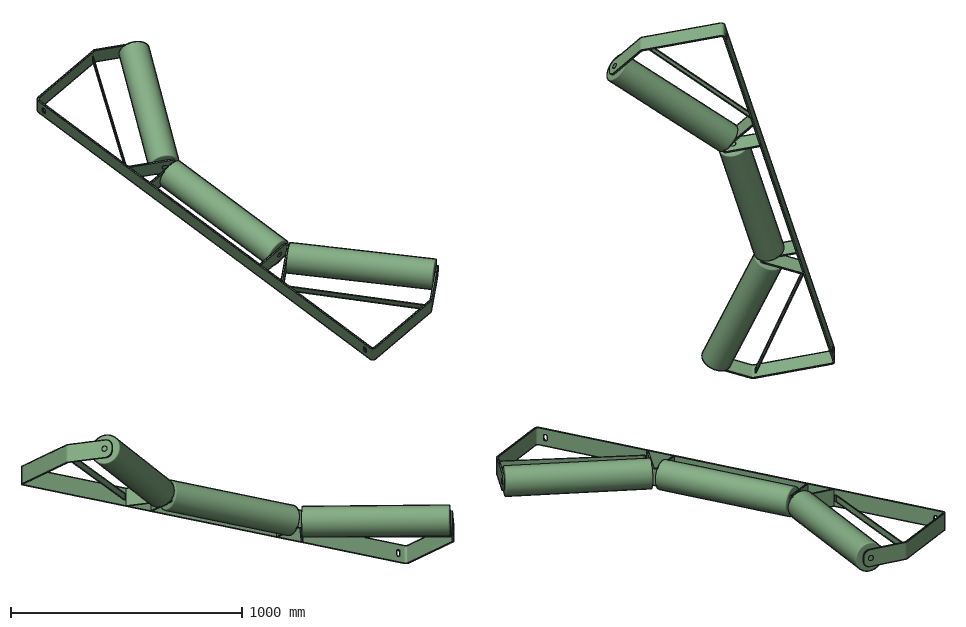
import cadquery as cq
import math


BAR_WIDTH = 80.0
BAR_THICKNESS = 7.0
BEND_RADIUS = 10.0

FRAME_LENGTH = 2000.0
SIDE_HEIGHT = 370.0
WING_ANGLE = 35.0
ARM_LENGTH = 208.0
ARM_CORNER_RADIUS = 30.0
AXLE_ON_ARM = 175.0
SLOT_X = 952.0
SLOT_WIDTH = 18.0
SLOT_HEIGHT = 30.0

ROLLER_DIAMETER = 135.0
ROLLER_LENGTH = 640.0
ROLLER_EDGE_RADIUS = 5.0
LEVEL_ROLLER_Y = 125.0
ARM_GAP = 5.0
BRACKET_GAP = 2.0
AXLE_DIAMETER = 25.0

BRACKET_HEIGHT = 168.0
BRACKET_BEND_RADIUS = 2.0

BRACE_WIDTH = 30.0
BRACE_THICKNESS = 5.0
BRACE_TOP_Y = 355.0
BRACE_FOOT_X = 465.0

HALF_LENGTH = FRAME_LENGTH / 2
COS_WING = math.cos(math.radians(WING_ANGLE))
SIN_WING = math.sin(math.radians(WING_ANGLE))
ARM_DIRECTION = cq.Vector(SIN_WING, COS_WING)
AXIS_DIRECTION = cq.Vector(COS_WING, -SIN_WING)
ARM_BEND = cq.Vector(-HALF_LENGTH, SIDE_HEIGHT)
ARM_EYE = ARM_BEND + ARM_DIRECTION * AXLE_ON_ARM
ARM_TIP = ARM_BEND + ARM_DIRECTION * ARM_LENGTH
HALF_ROLLER = ROLLER_LENGTH / 2
ARM_REACH = HALF_ROLLER + ARM_GAP
BRACKET_REACH = HALF_ROLLER + BRACKET_GAP
LEVEL_CENTRE = cq.Vector(0, LEVEL_ROLLER_Y)
WING_CENTRE = ARM_EYE + AXIS_DIRECTION * (BAR_THICKNESS + ARM_REACH)
BRACKET_EYE = WING_CENTRE + AXIS_DIRECTION * BRACKET_REACH


def mirrored(body):
    """Copy a left-hand body to the right-hand side."""
    return body.mirror("YZ")


def offset_path(path, distance):
    """Mitred offset of an open path, to the left of its direction of travel."""
    steps = [(end - start).normalized() for start, end in zip(path, path[1:])]
    normals = [cq.Vector(-step.y, step.x) for step in steps]
    shifted = [path[0] + normals[0] * distance]
    for corner, before, after in zip(path[1:], normals, normals[1:]):
        bisector = before + after
        shifted.append(corner + bisector * (distance / bisector.dot(before)))
    shifted.append(path[-1] + normals[-1] * distance)
    return shifted


def bent_bar(outer_path, inner_radius):
    """Flat bar bent along a path given on the outside of its bends, bar lying to the left of the path."""
    inner_path = offset_path(outer_path, BAR_THICKNESS)
    outline = [point.toTuple()[:2] for point in outer_path + inner_path[::-1]]
    bar = cq.Workplane("XY", origin=(0, 0, -BAR_WIDTH / 2)).polyline(outline).close().extrude(BAR_WIDTH)
    for corners, radius in (
        (outer_path[1:-1], inner_radius + BAR_THICKNESS),
        (inner_path[1:-1], inner_radius),
    ):
        for corner in corners:
            bar = bar.edges(cq.selectors.NearestToPointSelector((corner.x, corner.y, 0))).fillet(radius)
    return bar


def round_bar(diameter, start_x, end_x):
    """Round bar along X."""
    return cq.Workplane("YZ", origin=(start_x, 0, 0)).circle(diameter / 2).extrude(end_x - start_x)


def place_on_wing(body):
    """Move a body built around the origin, along X, onto the left wing roller axis."""
    return body.rotate((0, 0, 0), (0, 0, 1), -WING_ANGLE).translate(WING_CENTRE)


def make_axle(left_reach, right_reach):
    """Axle ending flush with the far faces of the plates at its two ends."""
    return round_bar(AXLE_DIAMETER, -left_reach - BAR_THICKNESS, right_reach + BAR_THICKNESS)


def make_roller(axle):
    """Roller drum with rounded rims, joined to its axle."""
    drum = round_bar(ROLLER_DIAMETER, -HALF_ROLLER, HALF_ROLLER)
    drum = drum.faces("<X or >X").edges().fillet(ROLLER_EDGE_RADIUS)
    return drum.union(axle)


def make_frame(wing_axle):
    """Base rail, upright sides and inclined arms, bent from one bar."""
    left_path = [ARM_TIP, ARM_BEND, cq.Vector(-HALF_LENGTH, 0)]
    right_path = [cq.Vector(-point.x, point.y) for point in left_path[::-1]]
    frame = bent_bar(left_path + right_path, BEND_RADIUS)
    for tip in (left_path[0], right_path[-1]):
        for face_z in (-BAR_WIDTH / 2, BAR_WIDTH / 2):
            corner = cq.selectors.NearestToPointSelector((tip.x, tip.y, face_z))
            frame = frame.edges(corner).fillet(ARM_CORNER_RADIUS)
    frame = frame.cut(wing_axle).cut(mirrored(wing_axle))
    slots = (
        cq.Workplane("XZ")
        .pushPoints([(-SLOT_X, 0), (SLOT_X, 0)])
        .slot2D(SLOT_HEIGHT, SLOT_WIDTH, 90)
        .extrude(-BAR_THICKNESS)
    )
    return frame.cut(slots)


def make_bracket(wing_axle, level_axle):
    """Left bracket: an upright leg for the level roller and an inclined leg for the wing roller."""
    def on_inclined_leg(y):
        return cq.Vector(BRACKET_EYE.x + (y - BRACKET_EYE.y) * SIN_WING / COS_WING, y)

    upright_x = -BRACKET_REACH
    path = [
        cq.Vector(upright_x, BAR_THICKNESS),
        cq.Vector(upright_x, BRACKET_HEIGHT),
        on_inclined_leg(BRACKET_HEIGHT),
        on_inclined_leg(0),
    ]
    bracket = bent_bar(path, BRACKET_BEND_RADIUS)
    below_rail_face = cq.Workplane("XY").box(FRAME_LENGTH, 2 * BAR_THICKNESS, BAR_WIDTH)
    return bracket.cut(below_rail_face).cut(wing_axle).cut(level_axle)


def make_brace():
    """Left diagonal brace from the upright side down to the base rail, trimmed flush to both."""
    wall_x = -HALF_LENGTH + BAR_THICKNESS
    top = cq.Vector(wall_x, BRACE_TOP_Y)
    foot = cq.Vector(-BRACE_FOOT_X, BAR_THICKNESS)
    run = foot - top
    middle = (top + foot) * 0.5
    untrimmed_length = run.Length + 2 * BAR_THICKNESS
    slope = math.degrees(math.atan2(run.y, run.x))
    bar = (
        cq.Workplane("XY")
        .box(untrimmed_length, BRACE_THICKNESS, BRACE_WIDTH)
        .rotate((0, 0, 0), (0, 0, 1), slope)
        .translate(middle)
    )
    inside_frame = cq.Workplane("XY").box(
        HALF_LENGTH, SIDE_HEIGHT, BAR_WIDTH, centered=(False, False, True)
    ).translate((wall_x, BAR_THICKNESS, 0))
    return bar.intersect(inside_frame)


level_axle = make_axle(BRACKET_REACH, BRACKET_REACH)
wing_axle = make_axle(ARM_REACH, BRACKET_REACH)
placed_level_axle = level_axle.translate(LEVEL_CENTRE)
placed_wing_axle = place_on_wing(wing_axle)

frame = make_frame(placed_wing_axle)
level_roller = make_roller(level_axle).translate(LEVEL_CENTRE)
wing_roller = place_on_wing(make_roller(wing_axle))
bracket = make_bracket(placed_wing_axle, placed_level_axle)
brace = make_brace()

bodies = [frame.solids().val(), level_roller.solids().val()]
for left_body in (wing_roller, bracket, brace):
    bodies.append(left_body.solids().val())
    bodies.append(mirrored(left_body).solids().val())

result = cq.Compound.makeCompound(bodies)